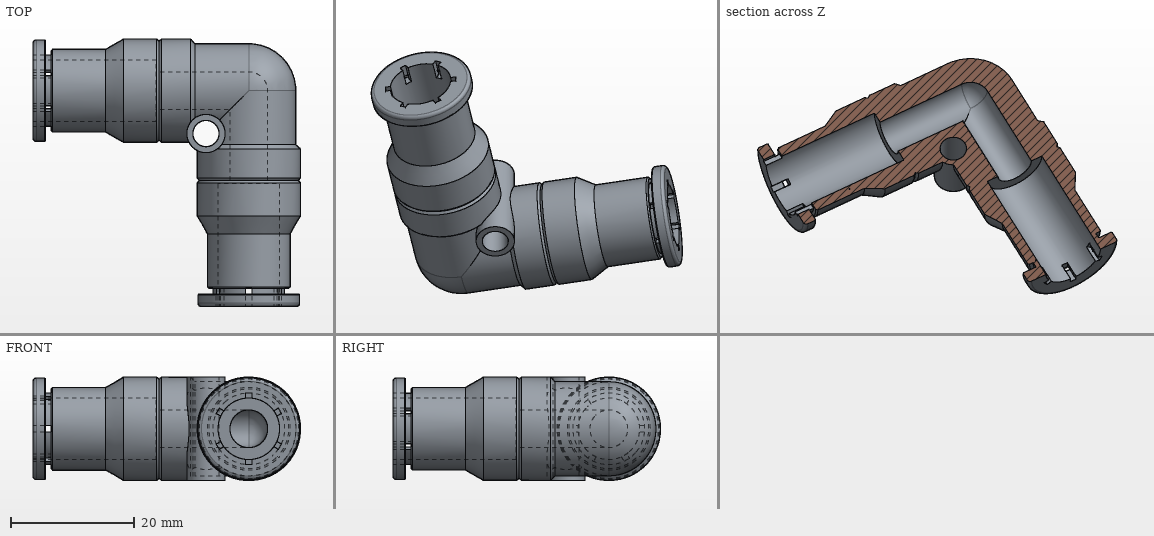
import cadquery as cq

overall_length = 43.4
body_diameter = 16.8
body_radius = body_diameter / 2
arm_length = overall_length - body_radius

flange_end = 2.1
sleeve_start = 2.95
sleeve_end = 11.8
body_start = 14.7
groove_start = 20.05
groove_end = 20.88
body_end = 25.55
elbow_start = 26.25

flange_diameter = 16.5
flange_front_fillet = 0.55
flange_back_chamfer = 0.17
collar_diameter = 11.65
sleeve_diameter = 13.45
sleeve_chamfer = 0.25
groove_depth = 0.35
elbow_diameter = 15.28

socket_diameter = 10.0
socket_depth = 19.95
passage_diameter = 6.1

slot_count = 6
slot_width = 1.0
slot_outer_radius = collar_diameter / 2
slot_depth = sleeve_start

post_diameter = 6.2
post_hole_diameter = 4.2
post_offset = 6.95


def arm_outside():
    """Revolved outside of one arm: axis on +Z, bend centre at the origin, mouth at the top."""
    flange_radius = flange_diameter / 2
    collar_radius = collar_diameter / 2
    sleeve_radius = sleeve_diameter / 2
    elbow_radius = elbow_diameter / 2
    groove_middle = (groove_start + groove_end) / 2
    profile = [
        (0, 0),
        (flange_radius, 0),
        (flange_radius, flange_end - flange_back_chamfer),
        (flange_radius - flange_back_chamfer, flange_end),
        (collar_radius, flange_end),
        (collar_radius, sleeve_start),
        (sleeve_radius - sleeve_chamfer, sleeve_start),
        (sleeve_radius, sleeve_start + sleeve_chamfer),
        (sleeve_radius, sleeve_end),
        (body_radius, body_start),
        (body_radius, groove_start),
        (body_radius - groove_depth, groove_middle),
        (body_radius, groove_end),
        (body_radius, body_end),
        (elbow_radius, elbow_start),
        (elbow_radius, arm_length),
        (0, arm_length),
    ]
    points = [(radius, arm_length - station) for radius, station in profile]
    arm = cq.Workplane("XZ").polyline(points).close().revolve(360, (0, 0), (0, 1))
    return arm.faces(">Z").edges().fillet(flange_front_fillet)


def arm_inside():
    """Void of one arm: narrow passage, tube socket and collar slots."""
    passage = cq.Workplane("XY").circle(passage_diameter / 2).extrude(arm_length)
    socket = (
        cq.Workplane("XY", origin=(0, 0, arm_length))
        .circle(socket_diameter / 2)
        .extrude(-socket_depth)
    )
    void = passage.union(socket)
    slot = (
        cq.Workplane("XY", origin=(0, 0, arm_length))
        .rect(2 * slot_outer_radius, slot_width)
        .extrude(-slot_depth)
    )
    for index in range(slot_count // 2):
        angle = index * 360 / slot_count
        void = void.union(slot.rotate((0, 0, 0), (0, 0, 1), angle))
    return void


def join_arms(arm, bend_diameter):
    """Point one arm along -X and one along -Y, and round the bend with a ball."""
    x_arm = arm.rotate((0, 0, 0), (0, 0, 1), 90).rotate((0, 0, 0), (0, 1, 0), -90)
    y_arm = arm.rotate((0, 0, 0), (0, 0, 1), 90).rotate((0, 0, 0), (1, 0, 0), 90)
    return x_arm.union(y_arm).union(cq.Workplane("XY").sphere(bend_diameter / 2))


def post_cylinder(diameter):
    return (
        cq.Workplane("XY", origin=(-post_offset, -post_offset, -body_radius))
        .circle(diameter / 2)
        .extrude(body_diameter)
    )


outside = join_arms(arm_outside(), elbow_diameter).union(post_cylinder(post_diameter))
inside = join_arms(arm_inside(), passage_diameter)
result = outside.cut(inside).cut(post_cylinder(post_hole_diameter))